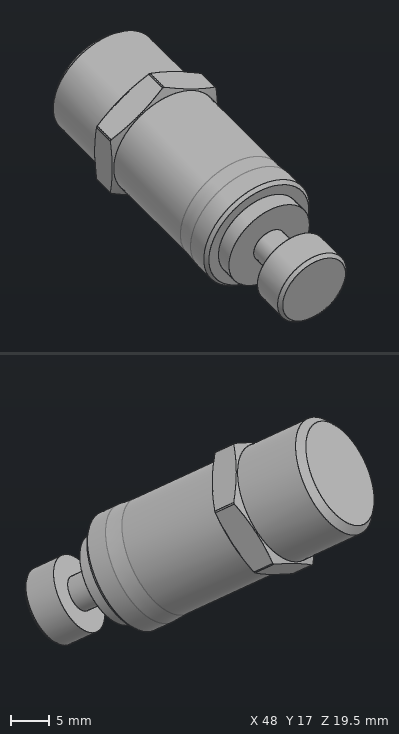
import cadquery as cq
import math

hex_start = 10.5
hex_end = 14.6
taper_start = 29.55
collar_start = 32.1
collar_end = 35.55
boss_end = 37.9
stem_end = 42.95
total_length = 48.0

body_diameter = 16.6
collar_diameter = 17.0
boss_diameter = 12.95
stem_diameter = 5.0
head_diameter = 11.05

hex_across_flats = collar_diameter
hex_across_corners = hex_across_flats / math.cos(math.pi / 6)
hex_corner_diameter = 19.5
hex_chamfer_length = 0.5
hex_chamfer_depth = 1.45

rear_chamfer = 0.95
collar_chamfer = 0.5
head_chamfer = 0.5


def cylinder(start, end, diameter):
    """Solid cylinder on the X axis between two stations."""
    return cq.Workplane("YZ").workplane(offset=start).circle(diameter / 2).extrude(end - start)


def make_hexagon():
    """Hexagonal flange with its corners rounded off and a turned cone at each end."""
    corner_radius = hex_corner_diameter / 2
    end_radius = corner_radius - hex_chamfer_depth
    prism = (
        cq.Workplane("YZ")
        .workplane(offset=hex_start)
        .polygon(6, hex_across_corners)
        .extrude(hex_end - hex_start)
        .rotate((0, 0, 0), (1, 0, 0), 90)
    )
    envelope = (
        cq.Workplane("XY")
        .moveTo(hex_start, 0)
        .lineTo(hex_start, end_radius)
        .lineTo(hex_start + hex_chamfer_length, corner_radius)
        .lineTo(hex_end - hex_chamfer_length, corner_radius)
        .lineTo(hex_end, end_radius)
        .lineTo(hex_end, 0)
        .close()
        .revolve(360, (0, 0, 0), (1, 0, 0))
    )
    return prism.intersect(envelope)


def make_taper():
    """Shallow cone that widens the body to the collar diameter."""
    return (
        cq.Workplane("YZ")
        .workplane(offset=taper_start)
        .circle(body_diameter / 2)
        .workplane(offset=collar_start - taper_start)
        .circle(collar_diameter / 2)
        .loft(ruled=True)
    )


body = cylinder(0, taper_start, body_diameter).faces("<X").chamfer(rear_chamfer)
collar = cylinder(collar_start, collar_end, collar_diameter).faces(">X").chamfer(collar_chamfer)
boss = cylinder(collar_end, boss_end, boss_diameter)
stem = cylinder(boss_end, stem_end, stem_diameter)
head = cylinder(stem_end, total_length, head_diameter).faces(">X").chamfer(head_chamfer)

result = body
for section in (make_hexagon(), make_taper(), collar, boss, stem, head):
    result = result.union(section)